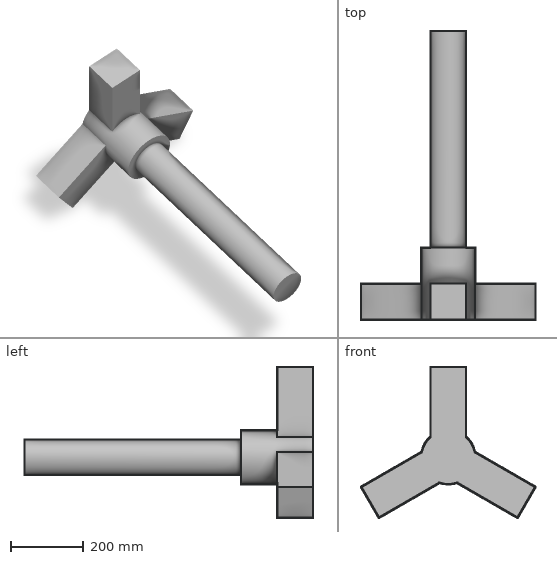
import cadquery as cq

total_length = 800.0
shaft_diameter = 99.0
hub_diameter = 150.0
hub_length = 200.0
arm_count = 3
arm_reach = 250.0
arm_width = shaft_diameter
arm_depth = hub_length / 2


def cylinder(diameter, length):
    """Round bar from the front face (Y = 0) toward +Y."""
    return cq.Workplane("XZ").circle(diameter / 2).extrude(-length)


def arm(angle):
    """Square-ended arm, pointing up (+Z) before it is turned about the Y axis."""
    upright = cq.Workplane("XY").box(arm_width, arm_depth, arm_reach, centered=(True, False, False))
    return upright.rotate((0, 0, 0), (0, 1, 0), angle)


result = cylinder(shaft_diameter, total_length).union(cylinder(hub_diameter, hub_length))
for index in range(arm_count):
    result = result.union(arm(index * 360 / arm_count))